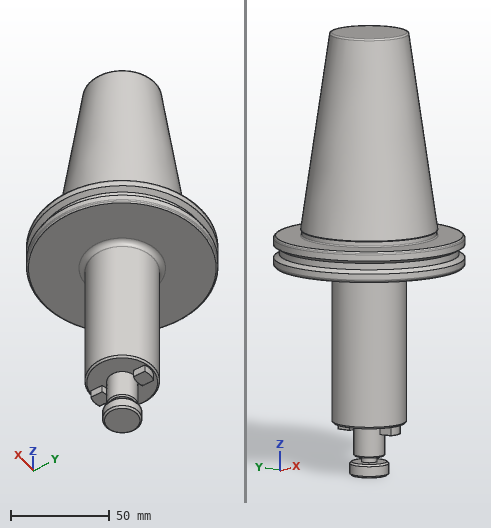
import cadquery as cq
import math


gauge_diameter = 69.85
taper_length = 101.75
taper_ratio = 7 / 24
taper_end_fillet = 1.0

neck_depth = 0.5
neck_fillet = 0.6

flange_diameter = 97.5
flange_top_z = -3.2
flange_bottom_z = -19.1
flange_chamfer = 1.0
flange_edge_round = 1.0
groove_center_z = -11.2
groove_width = 6.7
groove_floor_diameter = 91.6
groove_flank_angle = 30.0

body_diameter = 38.0
body_bottom_z = -100.0
body_fillet = 3.0
body_chamfer = 1.0
pilot_diameter = 16.0
pilot_length = 17.0
pilot_chamfer = 0.75

screw_diameter = 8.0
screw_gap = 3.0
screw_head_diameter = 20.0
screw_head_height = 7.0
screw_head_chamfer = 1.0

key_width = 8.0
key_height = 4.5
key_inner_y = 9.0
key_outer_y = 17.4
key_end_bulge = 0.7


def cylinder(diameter, bottom_z, top_z):
    """Cylinder on the Z axis between two heights."""
    return cq.Workplane("XY").workplane(offset=bottom_z).circle(diameter / 2).extrude(top_z - bottom_z)


def make_taper():
    """Steep taper above the gauge plane, rounded at its small end."""
    gauge_radius = gauge_diameter / 2
    end_radius = gauge_radius - taper_length * taper_ratio / 2
    return (
        cq.Workplane("XZ")
        .polyline([(0, 0), (gauge_radius, 0), (end_radius, taper_length), (0, taper_length)])
        .close()
        .revolve(360, (0, 0, 0), (0, 1, 0))
        .faces(">Z")
        .fillet(taper_end_fillet)
    )


def make_neck():
    """Neck that steps in below the gauge plane and flares out to the flange."""
    gauge_radius = gauge_diameter / 2
    neck_radius = gauge_radius - neck_depth
    return (
        cq.Workplane("XZ")
        .moveTo(0, 0)
        .lineTo(gauge_radius, 0)
        .lineTo(neck_radius, -neck_depth)
        .lineTo(neck_radius, flange_top_z + neck_fillet)
        .radiusArc((neck_radius + neck_fillet, flange_top_z), -neck_fillet)
        .lineTo(0, flange_top_z)
        .close()
        .revolve(360, (0, 0, 0), (0, 1, 0))
    )


def make_flange():
    """Flange with rounded-off chamfers and a V-groove around the rim."""
    rim_radius = flange_diameter / 2
    floor_radius = groove_floor_diameter / 2
    half_width = groove_width / 2
    flank_height = (rim_radius - floor_radius) * math.tan(math.radians(groove_flank_angle))
    half_floor = half_width - flank_height
    groove = (
        cq.Workplane("XZ")
        .polyline(
            [
                (rim_radius, groove_center_z + half_width),
                (floor_radius, groove_center_z + half_floor),
                (floor_radius, groove_center_z - half_floor),
                (rim_radius, groove_center_z - half_width),
            ]
        )
        .close()
        .revolve(360, (0, 0, 0), (0, 1, 0))
    )
    flange = cylinder(flange_diameter, flange_bottom_z, flange_top_z).edges("%CIRCLE").chamfer(flange_chamfer)
    largest_radius = cq.selectors.RadiusNthSelector(-1)
    flange = flange.edges("%CIRCLE").edges(largest_radius).fillet(flange_edge_round)
    return flange.cut(groove)


def make_body():
    """Arbor body with a concave fillet where it meets the flange."""
    radius = body_diameter / 2
    body = cylinder(body_diameter, body_bottom_z, flange_bottom_z).faces("<Z").chamfer(body_chamfer)
    fillet = (
        cq.Workplane("XZ")
        .moveTo(0, flange_bottom_z)
        .lineTo(radius + body_fillet, flange_bottom_z)
        .radiusArc((radius, flange_bottom_z - body_fillet), -body_fillet)
        .lineTo(0, flange_bottom_z - body_fillet)
        .close()
        .revolve(360, (0, 0, 0), (0, 1, 0))
    )
    return body.union(fillet)


def make_pilot_and_screw():
    """Pilot below the body, with the clamping screw standing clear of its end."""
    pilot_bottom_z = body_bottom_z - pilot_length
    head_top_z = pilot_bottom_z - screw_gap
    head_bottom_z = head_top_z - screw_head_height
    pilot = cylinder(pilot_diameter, pilot_bottom_z, body_bottom_z).faces("<Z").chamfer(pilot_chamfer)
    shank = cylinder(screw_diameter, head_top_z, pilot_bottom_z)
    head = cylinder(screw_head_diameter, head_bottom_z, head_top_z).edges().chamfer(screw_head_chamfer)
    return pilot.union(shank).union(head)


def make_key(side):
    """Drive key under the body, on the +Y (side = 1) or -Y (side = -1) side."""
    half_width = key_width / 2
    inner_corner_y = side * (key_inner_y + key_end_bulge)
    outer_corner_y = side * (key_outer_y - key_end_bulge)
    return (
        cq.Workplane("XY")
        .workplane(offset=body_bottom_z)
        .moveTo(-half_width, inner_corner_y)
        .threePointArc((0, side * key_inner_y), (half_width, inner_corner_y))
        .lineTo(half_width, outer_corner_y)
        .threePointArc((0, side * key_outer_y), (-half_width, outer_corner_y))
        .close()
        .extrude(-key_height)
    )


result = make_taper().union(make_neck()).union(make_flange()).union(make_body()).union(make_pilot_and_screw())
for side in (-1, 1):
    result = result.union(make_key(side))